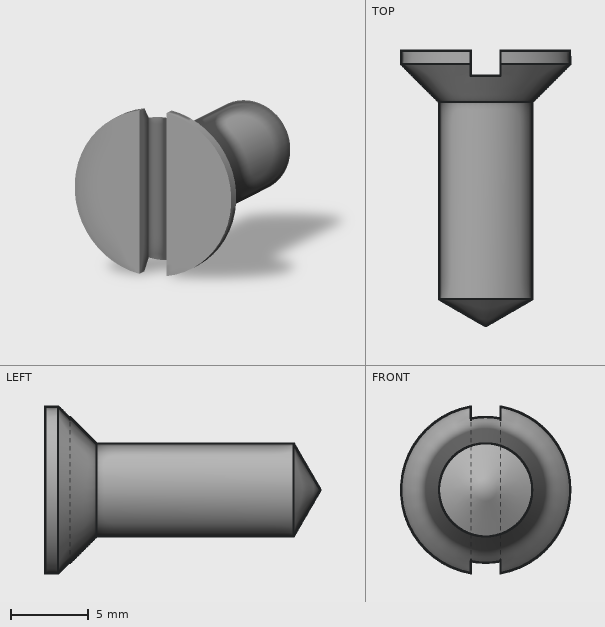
import cadquery as cq
import math

head_diameter = 10.9
shank_diameter = 6.0
body_length = 16.0
rim_height = 0.85
countersink_half_angle = 45
point_half_angle = 60
slot_width = 1.9
slot_depth = 1.6

head_radius = head_diameter / 2
shank_radius = shank_diameter / 2
countersink_height = (head_radius - shank_radius) / math.tan(math.radians(countersink_half_angle))
head_height = rim_height + countersink_height
point_height = shank_radius / math.tan(math.radians(point_half_angle))


def make_body():
    """Head, shank and conical point, revolved about the Y axis."""
    half_profile = [
        (0, 0),
        (head_radius, 0),
        (head_radius, -rim_height),
        (shank_radius, -head_height),
        (shank_radius, -body_length),
        (0, -body_length - point_height),
    ]
    return cq.Workplane("XY").polyline(half_profile).close().revolve(360, (0, 0), (0, 1))


def make_slot():
    """Driver slot running along Z across the full head face."""
    return cq.Workplane("XY").box(slot_width, 2 * slot_depth, 2 * head_diameter)


result = make_body().cut(make_slot())